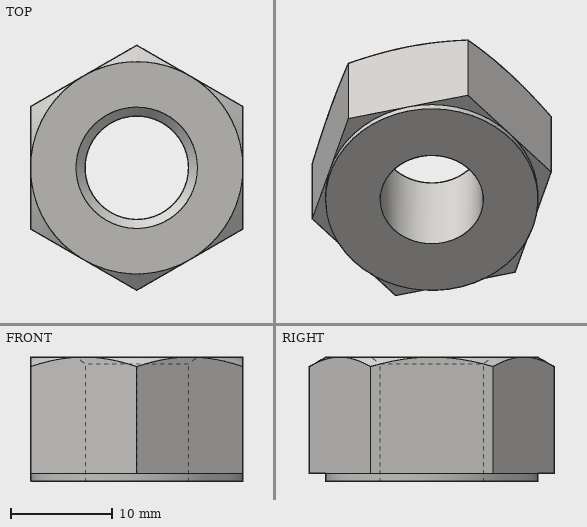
import cadquery as cq
import math

across_flats = 21.0
total_height = 12.3
washer_face_height = 0.8
washer_face_diameter = across_flats
bore_diameter = 10.2
thread_diameter = 12.0
corner_chamfer_angle = 30.0
countersink_angle = 37.0
blank_margin = 1.0

across_corners = across_flats / math.cos(math.pi / 6)
hex_height = total_height - washer_face_height
countersink_depth = (thread_diameter - bore_diameter) / 2 * math.tan(math.radians(countersink_angle))


def cone_envelope():
    """Turned blank whose top edge slopes down from the across-flats circle past the corners."""
    top_radius = across_flats / 2
    outer_radius = across_corners / 2 + blank_margin
    drop = (outer_radius - top_radius) * math.tan(math.radians(corner_chamfer_angle))
    return (
        cq.Workplane("XZ")
        .moveTo(0, 0)
        .lineTo(outer_radius, 0)
        .lineTo(outer_radius, total_height - drop)
        .lineTo(top_radius, total_height)
        .lineTo(0, total_height)
        .close()
        .revolve(360, (0, 0, 0), (0, 1, 0))
    )


def hex_body():
    """Hexagon with corners on the Y axis, standing on the washer face, top corners chamfered."""
    prism = (
        cq.Workplane("XY", origin=(0, 0, washer_face_height))
        .transformed(rotate=(0, 0, 90))
        .polygon(6, across_corners)
        .extrude(hex_height)
    )
    return prism.intersect(cone_envelope())


def washer_face():
    """Round bearing face under the hexagon."""
    return cq.Workplane("XY").circle(washer_face_diameter / 2).extrude(washer_face_height)


def countersunk_bore():
    """Through bore with a conical countersink at the top."""
    return (
        cq.Workplane("XZ")
        .moveTo(0, 0)
        .lineTo(bore_diameter / 2, 0)
        .lineTo(bore_diameter / 2, total_height - countersink_depth)
        .lineTo(thread_diameter / 2, total_height)
        .lineTo(0, total_height)
        .close()
        .revolve(360, (0, 0, 0), (0, 1, 0))
    )


result = hex_body().union(washer_face()).cut(countersunk_bore())